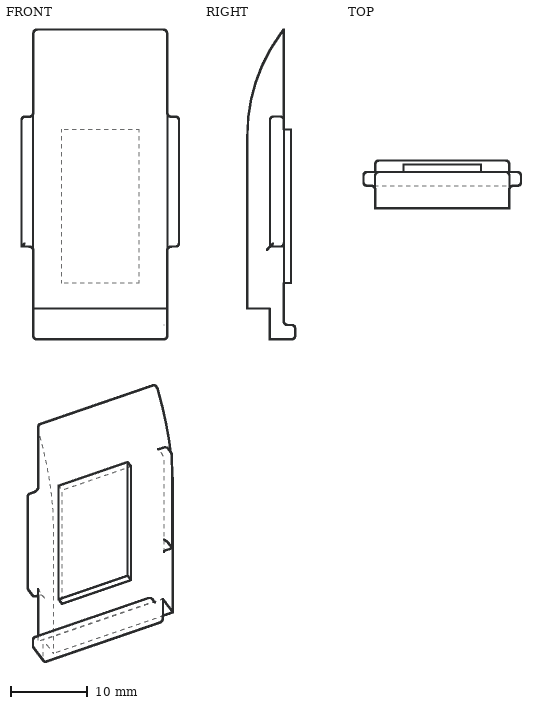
import cadquery as cq
import math

HEIGHT = 40.3
OVERALL_WIDTH = 20.5
BLOCK_WIDTH = 17.45
BLOCK_DEPTH = 4.75
NOSE_BASE_Z = 26.6

FOOT_DEPTH = 1.85
FOOT_STEP_Z = 4.0
HOOK_REACH = 1.5
HOOK_HEIGHT = 1.9

RAIL_DEPTH = 1.8
RAIL_BOTTOM_Z = 12.05
RAIL_LENGTH = 16.93

PAD_WIDTH = 10.08
PAD_THICKNESS = 0.95
PAD_BOTTOM_Z = 7.35
PAD_LENGTH = 20.0

EDGE_RADIUS = 0.5
SELECT_MARGIN = 0.05

half_block = BLOCK_WIDTH / 2
half_overall = OVERALL_WIDTH / 2
rail_top_z = RAIL_BOTTOM_Z + RAIL_LENGTH


def edges_within(body, low, high):
    """Edges whose centres lie in the box from low to high, widened by a small margin."""
    box_low = [value - SELECT_MARGIN for value in low]
    box_high = [value + SELECT_MARGIN for value in high]
    return body.edges(cq.selectors.BoxSelector(box_low, box_high))


def make_block():
    """Side profile with a nose arc tangent to the front face, extruded across the width."""
    profile = (
        cq.Workplane("YZ", origin=(-half_block, 0, 0))
        .moveTo(HOOK_REACH, 0)
        .lineTo(-FOOT_DEPTH, 0)
        .lineTo(-FOOT_DEPTH, FOOT_STEP_Z)
        .lineTo(-BLOCK_DEPTH, FOOT_STEP_Z)
        .lineTo(-BLOCK_DEPTH, NOSE_BASE_Z)
        .tangentArcPoint((0, HEIGHT), relative=False)
        .lineTo(0, HOOK_HEIGHT)
        .lineTo(HOOK_REACH, HOOK_HEIGHT)
        .close()
    )
    return profile.extrude(BLOCK_WIDTH)


def make_rails():
    """One bar through the block that sticks out as a rail on each side."""
    return cq.Workplane("XY").box(
        OVERALL_WIDTH, RAIL_DEPTH, RAIL_LENGTH, centered=(True, False, False)
    ).translate((0, -RAIL_DEPTH, RAIL_BOTTOM_Z))


def round_outline_corners(body):
    """Round the upper front-to-back corners of the rails and the lower ones of the foot."""
    right_rail_top = body.edges("|Y").edges(">X").edges(">Z")
    left_rail_top = body.edges("|Y").edges("<X").edges(">Z")
    foot_bottom = body.faces("<Z").edges("|Y")
    return right_rail_top.add(left_rail_top).add(foot_bottom).fillet(EDGE_RADIUS)


def round_rail_fronts(body):
    """Round the front edges of the rails, except the lower one of the right rail."""
    right_low_z = RAIL_BOTTOM_Z + EDGE_RADIUS
    left = edges_within(
        body, (-half_overall, -RAIL_DEPTH, RAIL_BOTTOM_Z), (-half_block - EDGE_RADIUS, -RAIL_DEPTH, rail_top_z)
    )
    right = edges_within(
        body, (half_block + EDGE_RADIUS, -RAIL_DEPTH, right_low_z), (half_overall, -RAIL_DEPTH, rail_top_z)
    )
    return left.add(right).fillet(EDGE_RADIUS)


def round_right_lower_corner(body):
    """Cut the lower corner of the right rail round, straight through from front to back."""
    corner_x = half_overall - EDGE_RADIUS
    corner_z = RAIL_BOTTOM_Z + EDGE_RADIUS
    diagonal = EDGE_RADIUS * math.sqrt(0.5)
    waste = (
        cq.Workplane("XZ")
        .moveTo(corner_x, RAIL_BOTTOM_Z)
        .lineTo(half_overall, RAIL_BOTTOM_Z)
        .lineTo(half_overall, corner_z)
        .threePointArc((corner_x + diagonal, corner_z - diagonal), (corner_x, RAIL_BOTTOM_Z))
        .close()
        .extrude(RAIL_DEPTH)
    )
    return body.cut(waste)


def round_rail_roots(body):
    """Concave fillets where the rails meet the sides of the block."""
    front_y = -RAIL_DEPTH
    back_y = -EDGE_RADIUS
    left = edges_within(
        body, (-half_block, front_y, RAIL_BOTTOM_Z), (-half_block, back_y, rail_top_z)
    )
    right = edges_within(
        body, (half_block, front_y, RAIL_BOTTOM_Z), (half_block, back_y, rail_top_z)
    )
    return left.add(right).fillet(EDGE_RADIUS)


def round_hook_corner(body):
    """Concave fillet between the back face and the top of the hook."""
    return edges_within(body, (0, 0, HOOK_HEIGHT), (0, 0, HOOK_HEIGHT)).fillet(EDGE_RADIUS)


def round_back_outline(body):
    """Round everything that borders the back face and the hook, except the sharp nose tip."""
    back = edges_within(
        body, (-half_overall, 0, 0), (half_overall, HOOK_REACH, HEIGHT - EDGE_RADIUS)
    )
    return back.fillet(EDGE_RADIUS)


def make_slide():
    """The complete slide: block, rails and all rounded edges."""
    slide = make_block().union(make_rails())
    slide = round_outline_corners(slide)
    slide = round_rail_fronts(slide)
    slide = round_right_lower_corner(slide)
    slide = round_rail_roots(slide)
    slide = round_hook_corner(slide)
    return round_back_outline(slide)


def make_pad():
    """Plain rectangular pad resting on the back face."""
    return cq.Workplane("XY").box(
        PAD_WIDTH, PAD_THICKNESS, PAD_LENGTH, centered=(True, False, False)
    ).translate((0, 0, PAD_BOTTOM_Z))


slide = make_slide()
pad = make_pad()

result = cq.Compound.makeCompound([slide.val(), pad.val()])